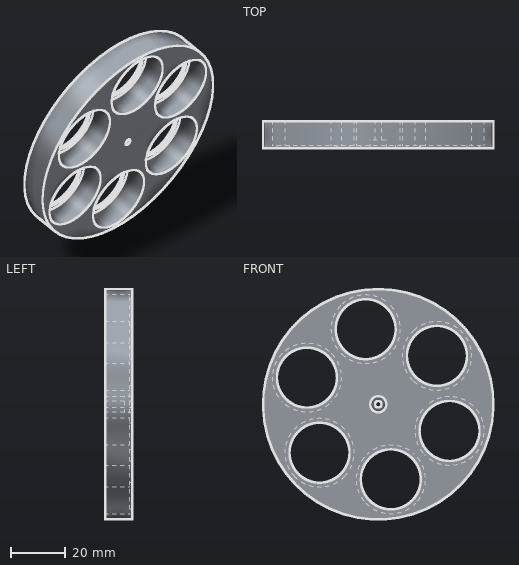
import cadquery as cq
import math

wheel_diameter = 85.0
wheel_thickness = 10.0

window_count = 6
window_diameter = 22.0
window_bore_diameter = 25.4
lip_thickness = 1.0
window_circle_radius = 28.05
first_window_angle = 39.5

bolt_diameter = 2.4
counterbore_diameter = 5.95
counterbore_depth = 3.0

bore_depth = wheel_thickness - lip_thickness
front_y = -wheel_thickness / 2


def cylinder(diameter, length, x=0.0, z=0.0, setback=0.0):
    """Cylinder running in +Y, starting a setback behind the front face."""
    start = cq.Vector(x, front_y + setback, z)
    return cq.Workplane(cq.Solid.makeCylinder(diameter / 2, length, start, cq.Vector(0, 1, 0)))


result = cylinder(wheel_diameter, wheel_thickness)

for index in range(window_count):
    angle = math.radians(first_window_angle + index * 360 / window_count)
    window_x = window_circle_radius * math.cos(angle)
    window_z = window_circle_radius * math.sin(angle)
    result = result.cut(cylinder(window_diameter, wheel_thickness, window_x, window_z))
    result = result.cut(cylinder(window_bore_diameter, bore_depth, window_x, window_z, lip_thickness))

result = result.cut(cylinder(bolt_diameter, wheel_thickness))
result = result.cut(cylinder(counterbore_diameter, counterbore_depth))